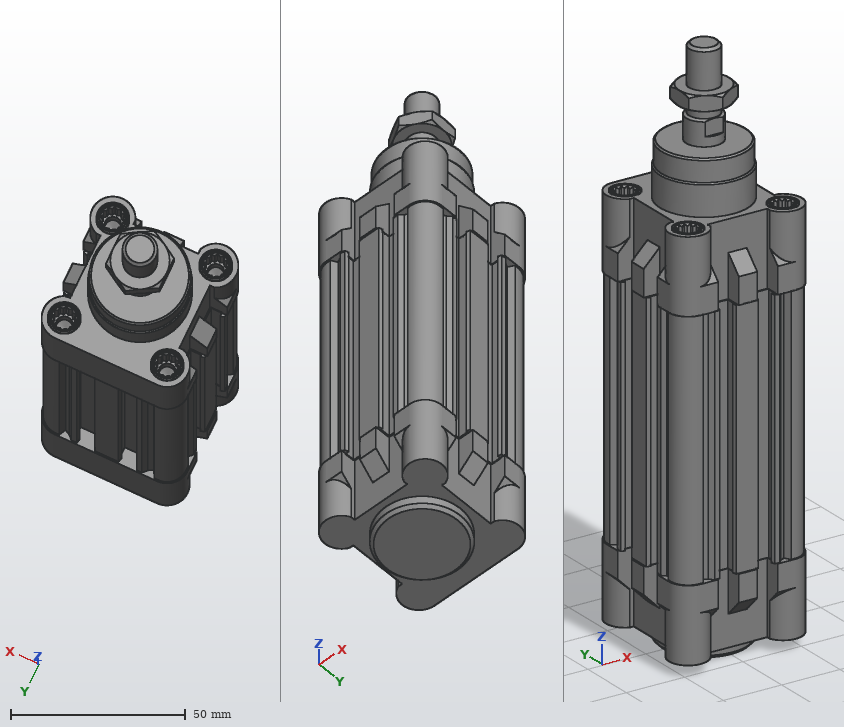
import cadquery as cq
import math

TOTAL_HEIGHT = 186.0
BOTTOM_BOSS_HEIGHT = 4.0
CAP_HEIGHT = 25.0
TUBE_LENGTH = 83.9
LOWER_NOSE_HEIGHT = 10.6
UPPER_NOSE_HEIGHT = 7.5
ROD_SHOULDER_HEIGHT = 8.4
NUT_TOP_FROM_ROD_END = 13.0
NUT_HEIGHT = 5.0

TUBE_BOTTOM = BOTTOM_BOSS_HEIGHT + CAP_HEIGHT
TUBE_TOP = TUBE_BOTTOM + TUBE_LENGTH
CAP_TOP = TUBE_TOP + CAP_HEIGHT
NOSE_STEP = CAP_TOP + LOWER_NOSE_HEIGHT
NOSE_TOP = NOSE_STEP + UPPER_NOSE_HEIGHT
ROD_SHOULDER = NOSE_TOP + ROD_SHOULDER_HEIGHT
NUT_BOTTOM = TOTAL_HEIGHT - NUT_TOP_FROM_ROD_END - NUT_HEIGHT

CAP_HALF = 22.78
CORNER_RADIUS = 6.5
CORNER_OFFSET = CAP_HALF - CORNER_RADIUS
CORE_HALF = 17.3
GUSSET_INNER = 10.2
RIB_WIDTH = 6.3
RIB_FLAT_HEIGHT = 9.0
NOSE_LOWER_DIAMETER = 30.0
NOSE_UPPER_DIAMETER = 29.0
NOSE_CHAMFER = 0.5
BOTTOM_BOSS_CHAMFER = 1.1

HEAD_GROOVE_DIAMETER = 9.5
HEAD_DIAMETER = 9.0
HEAD_TOP_DIAMETER = 8.0
HEAD_CHAMFER = (HEAD_DIAMETER - HEAD_TOP_DIAMETER) / 2
HEAD_GROOVE_DEPTH = 1.9
SOCKET_POINTS = 12
SOCKET_MOUTH_DIAMETER = 7.5
SOCKET_TIP_DIAMETER = 7.0
SOCKET_ROOT_DIAMETER = 6.0
SOCKET_DEPTH = 7.5
DRILL_DIAMETER = 4.8
DRILL_DEPTH = 3.7
DRILL_POINT_ANGLE = 118.0

TUBE_CORNER_RADIUS = 6.05
TUBE_HALF = CORNER_OFFSET + TUBE_CORNER_RADIUS
SLOT_FLOOR = 17.7
SLOT_OUTER = 10.5
SLOT_INNER = 3.5
LIP_OUTER = 9.1
LIP_INNER = 4.0
LIP_THICKNESS = 1.3
LIP_TAPER = 0.4
GROOVE_INNER = 11.2
GROOVE_RAMP_END = 12.5
GROOVE_BOTTOM = 14.0
GROOVE_OUTER = 15.0
GROOVE_DEPTH = 2.0

ROD_DIAMETER = 12.0
THREADED_END_DIAMETER = 10.0
ROD_END_CHAMFER = 1.0
SHOULDER_BEVEL_HEIGHT = 0.5
WRENCH_WIDTH = 10.5
WRENCH_LENGTH = 5.2
NUT_ACROSS_FLATS = 17.0
NUT_CORNER_CHAMFER_ANGLE = 30.0

CORNERS = [(x, y) for x in (-CORNER_OFFSET, CORNER_OFFSET) for y in (-CORNER_OFFSET, CORNER_OFFSET)]


def box(x_min, x_max, y_min, y_max, z_min, z_max):
    size = (x_max - x_min, y_max - y_min, z_max - z_min)
    return cq.Workplane("XY").box(*size, centered=False).translate((x_min, y_min, z_min))


def cylinder(diameter, z_min, z_max):
    return cq.Workplane("XY").workplane(offset=z_min).circle(diameter / 2).extrude(z_max - z_min)


def revolved(outline):
    """Solid turned about Z from (radius, height) points."""
    return cq.Workplane("XZ").polyline(outline).close().revolve(360, (0, 0, 0), (0, 1, 0))


def sloped_rib(x_min, x_max, root):
    """Rib on the -Y side, from z = 0 up, whose top slopes at 45 degrees back to y = -root."""
    slope_height = CAP_HALF - root
    side = [
        (-root, 0),
        (-CAP_HALF, 0),
        (-CAP_HALF, RIB_FLAT_HEIGHT),
        (-root, RIB_FLAT_HEIGHT + slope_height),
    ]
    return cq.Workplane("YZ").workplane(offset=x_min).polyline(side).close().extrude(x_max - x_min)


def cap_side_ribs():
    """Middle rib and the two corner gussets of the -Y side."""
    ribs = sloped_rib(-RIB_WIDTH / 2, RIB_WIDTH / 2, CORE_HALF)
    ribs = ribs.union(sloped_rib(-CORNER_OFFSET, -GUSSET_INNER, CORNER_OFFSET))
    return ribs.union(sloped_rib(GUSSET_INNER, CORNER_OFFSET, CORNER_OFFSET))


def end_cap():
    """Cap whose tube side lies at z = 0; the +Y face is flat over the full width."""
    cap = box(-CORE_HALF, CORE_HALF, -CORE_HALF, CORE_HALF, 0, CAP_HEIGHT)
    cap = cap.union(box(-CORNER_OFFSET, CORNER_OFFSET, 0, CAP_HALF, 0, CAP_HEIGHT))
    cap = cap.union(cq.Workplane("XY").pushPoints(CORNERS).circle(CORNER_RADIUS).extrude(CAP_HEIGHT))
    channel = box(-GUSSET_INNER, GUSSET_INNER, -CAP_HALF, -CORE_HALF, 0, CAP_HEIGHT)
    for angle in (-90, 0, 90):
        cap = cap.cut(channel.rotate((0, 0, 0), (0, 0, 1), angle))
        cap = cap.union(cap_side_ribs().rotate((0, 0, 0), (0, 0, 1), angle))
    return cap


def star_points():
    """Corner points of the socket outline, with a root on each axis."""
    points = []
    for index in range(2 * SOCKET_POINTS):
        angle = math.pi * index / SOCKET_POINTS
        radius = (SOCKET_ROOT_DIAMETER if index % 2 == 0 else SOCKET_TIP_DIAMETER) / 2
        points.append((radius * math.cos(angle), radius * math.sin(angle)))
    return points


def screw_head_cutter():
    """Cutter for one corner with the cap face at z = 0: ring groove, twelve-point socket and drilled hole."""
    groove = revolved([
        (HEAD_TOP_DIAMETER / 2, 0),
        (HEAD_GROOVE_DIAMETER / 2, 0),
        (HEAD_GROOVE_DIAMETER / 2, -HEAD_GROOVE_DEPTH),
        (HEAD_DIAMETER / 2, -HEAD_GROOVE_DEPTH),
        (HEAD_DIAMETER / 2, -HEAD_CHAMFER),
    ])
    countersink_depth = (SOCKET_MOUTH_DIAMETER - SOCKET_ROOT_DIAMETER) / 2
    drill_bottom = -SOCKET_DEPTH - DRILL_DEPTH
    drill_point = drill_bottom - DRILL_DIAMETER / 2 / math.tan(math.radians(DRILL_POINT_ANGLE / 2))
    bore = revolved([
        (0, 0),
        (SOCKET_MOUTH_DIAMETER / 2, 0),
        (SOCKET_ROOT_DIAMETER / 2, -countersink_depth),
        (DRILL_DIAMETER / 2, -countersink_depth),
        (DRILL_DIAMETER / 2, drill_bottom),
        (0, drill_point),
    ])
    socket = cq.Workplane("XY").polyline(star_points()).close().extrude(-SOCKET_DEPTH)
    return socket.union(bore).union(groove)


def slot_and_groove(side):
    """Cutter outlines on the -Y side: one lipped slot and one shallow groove; side is -1 or 1."""
    lip_bottom = TUBE_HALF - LIP_THICKNESS
    slot = [
        (LIP_OUTER + LIP_TAPER, TUBE_HALF),
        (LIP_OUTER, lip_bottom),
        (SLOT_OUTER, lip_bottom),
        (SLOT_OUTER, SLOT_FLOOR),
        (SLOT_INNER, SLOT_FLOOR),
        (SLOT_INNER, lip_bottom),
        (LIP_INNER, lip_bottom),
        (LIP_INNER - LIP_TAPER, TUBE_HALF),
    ]
    groove = [
        (GROOVE_INNER, TUBE_HALF),
        (GROOVE_RAMP_END, TUBE_HALF - (GROOVE_RAMP_END - GROOVE_INNER)),
        (GROOVE_BOTTOM, TUBE_HALF - GROOVE_DEPTH),
        (GROOVE_OUTER, TUBE_HALF),
    ]
    cutter = cq.Workplane("XY")
    for outline in (slot, groove):
        mirrored = [(side * x, -depth) for x, depth in outline]
        cutter = cutter.union(cq.Workplane("XY").polyline(mirrored).close().extrude(TUBE_LENGTH))
    return cutter


def tube():
    """Profiled barrel from z = 0 up, the same on all four sides."""
    width = 2 * TUBE_HALF
    barrel = cq.Workplane("XY").rect(width, width).extrude(TUBE_LENGTH)
    barrel = barrel.edges("|Z").fillet(TUBE_CORNER_RADIUS)
    for angle in (0, 90, 180, 270):
        for side in (-1, 1):
            barrel = barrel.cut(slot_and_groove(side).rotate((0, 0, 0), (0, 0, 1), angle))
    return barrel


def bottom_boss():
    return cylinder(NOSE_LOWER_DIAMETER, 0, BOTTOM_BOSS_HEIGHT).faces("<Z").chamfer(BOTTOM_BOSS_CHAMFER)


def nose():
    """Stepped collar on the upper cap, bevelled at the step and at the top."""
    step_bevel = (NOSE_LOWER_DIAMETER - NOSE_UPPER_DIAMETER) / 2
    lower = cylinder(NOSE_LOWER_DIAMETER, CAP_TOP, NOSE_STEP).faces(">Z").chamfer(step_bevel)
    upper = cylinder(NOSE_UPPER_DIAMETER, NOSE_STEP, NOSE_TOP).faces(">Z").chamfer(NOSE_CHAMFER)
    return lower.union(upper)


def housing_body():
    body = tube().translate((0, 0, TUBE_BOTTOM))
    body = body.union(end_cap().translate((0, 0, TUBE_TOP)))
    body = body.union(end_cap().mirror("XY").translate((0, 0, TUBE_BOTTOM)))
    body = body.union(bottom_boss())
    body = body.union(nose())
    for x, y in CORNERS:
        body = body.cut(screw_head_cutter().translate((x, y, CAP_TOP)))
    return body


def piston_rod():
    """Rod standing on the nose, with a pair of wrench flats facing -Y and +Y."""
    rod_radius = ROD_DIAMETER / 2
    thread_radius = THREADED_END_DIAMETER / 2
    rod = revolved([
        (0, NOSE_TOP),
        (rod_radius, NOSE_TOP),
        (rod_radius, ROD_SHOULDER - SHOULDER_BEVEL_HEIGHT),
        (thread_radius, ROD_SHOULDER),
        (thread_radius, TOTAL_HEIGHT - ROD_END_CHAMFER),
        (thread_radius - ROD_END_CHAMFER, TOTAL_HEIGHT),
        (0, TOTAL_HEIGHT),
    ])
    flat_bottom = ROD_SHOULDER - WRENCH_LENGTH
    for angle in (0, 180):
        flat = box(-rod_radius, rod_radius, WRENCH_WIDTH / 2, rod_radius, flat_bottom, ROD_SHOULDER)
        rod = rod.cut(flat.rotate((0, 0, 0), (0, 0, 1), angle))
    return rod


def lock_nut():
    """Hexagon nut with corners on the Y axis, its corners bevelled above and below."""
    corner_radius = NUT_ACROSS_FLATS / math.sqrt(3)
    face_radius = NUT_ACROSS_FLATS / 2
    bevel = (corner_radius - face_radius) * math.tan(math.radians(NUT_CORNER_CHAMFER_ANGLE))
    nut = cq.Workplane("XY").polygon(6, 2 * corner_radius).extrude(NUT_HEIGHT)
    nut = nut.rotate((0, 0, 0), (0, 0, 1), 30)
    envelope = [
        (0, 0),
        (face_radius, 0),
        (corner_radius, bevel),
        (corner_radius, NUT_HEIGHT - bevel),
        (face_radius, NUT_HEIGHT),
        (0, NUT_HEIGHT),
    ]
    nut = nut.intersect(revolved(envelope)).translate((0, 0, NUT_BOTTOM))
    return nut.cut(cylinder(THREADED_END_DIAMETER, NUT_BOTTOM, NUT_BOTTOM + NUT_HEIGHT))


housing = housing_body()
rod = piston_rod()
nut = lock_nut()

result = cq.Compound.makeCompound([housing.val(), rod.val(), nut.val()])